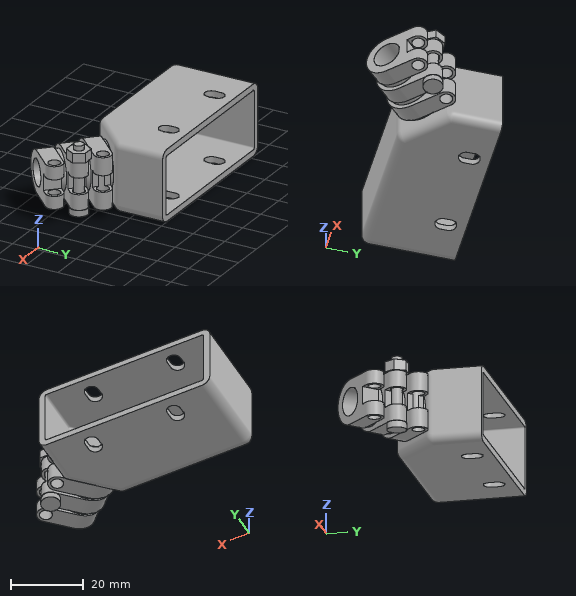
import cadquery as cq
import math

housing_length = 53.05
housing_depth = 26.8
housing_height = 22.0
edge_radius = 2.5
wall = 2.0

slot_width = 4.0
slot_length = 6.0
slot_y = -5.9
slot_x_positions = (13.7, 39.2)

outlet_angle = 45
outlet_x = 46.95
outlet_y = -21.0
bore_diameter = 8.0
neck_diameters = (14.0, 13.5, 12.0)
clamp_diameters = (15.95, 14.5, 13.0)
first_clamp_start = 1.15
clamp_width = 5.2
clamp_pitch = 6.8

ear_reach = 2.5
ear_hole_diameter = 3.5
ear_gap = 5.0

bolted_clamp = 1
bolt_diameter = 3.0
bolt_head_diameter = 5.5
bolt_head_height = 2.0
bolt_tip_height = 1.5
nut_across_flats = 6.0
nut_height = 3.0

mid_height = housing_height / 2


def housing_block(inset):
    """Bevelled block with rounded edges, moved inward by inset but always reaching the Y = 0 plane."""
    left = inset
    right = housing_length - inset
    front = -housing_depth + inset
    angle = math.radians(outlet_angle)
    bevel_distance = outlet_x * math.cos(angle) - outlet_y * math.sin(angle) - inset
    bevel_front_x = (bevel_distance + front * math.sin(angle)) / math.cos(angle)
    bevel_right_y = (right * math.cos(angle) - bevel_distance) / math.sin(angle)
    return (
        cq.Workplane("XY", origin=(0, 0, inset))
        .polyline([(left, 0), (left, front), (bevel_front_x, front), (right, bevel_right_y), (right, 0)])
        .close()
        .extrude(housing_height - 2 * inset)
        .faces("not >Y")
        .edges("not >Y")
        .fillet(edge_radius - inset)
    )


def mounting_slots():
    return (
        cq.Workplane("XY")
        .pushPoints([(x, slot_y) for x in slot_x_positions])
        .slot2D(slot_length, slot_width, 90)
        .extrude(housing_height)
    )



def outlet_cylinder(diameter, start, end):
    return cq.Workplane("YZ", origin=(start, 0, 0)).circle(diameter / 2).extrude(end - start)


def clamp_start(index):
    return first_clamp_start + index * clamp_pitch


def ear_centre(index):
    return (clamp_start(index) + clamp_width / 2, neck_diameters[index] / 2 + ear_reach)


def vertical_cylinder(centre, diameter, bottom, top):
    return cq.Workplane("XY", origin=(*centre, bottom)).circle(diameter / 2).extrude(top - bottom)


def clamp(index):
    """Ring with two ears that share one hole and are parted by a gap."""
    radius = clamp_diameters[index] / 2
    start = clamp_start(index)
    hole_centre = ear_centre(index)
    ear_length = hole_centre[1]
    ring = outlet_cylinder(2 * radius, start, start + clamp_width)
    ears = (
        cq.Workplane("XY", origin=(start, 0, -radius))
        .lineTo(clamp_width, 0)
        .lineTo(clamp_width, ear_length)
        .threePointArc((clamp_width / 2, ear_length + clamp_width / 2), (0, ear_length))
        .close()
        .extrude(2 * radius)
    )
    gap = (
        cq.Workplane("XY")
        .box(clamp_width, 2 * radius, ear_gap, centered=(False, False, True))
        .translate((start, radius, 0))
    )
    hole = vertical_cylinder(hole_centre, ear_hole_diameter, -radius, radius)
    return ring.union(ears).cut(gap).cut(hole)


def bolt(index):
    """Bolt with a round head below the ears and a hexagonal nut above them."""
    centre = ear_centre(index)
    ear_top = clamp_diameters[index] / 2
    nut_top = ear_top + nut_height
    shank = vertical_cylinder(centre, bolt_diameter, -ear_top, nut_top + bolt_tip_height)
    head = vertical_cylinder(centre, bolt_head_diameter, -ear_top - bolt_head_height, -ear_top)
    nut = (
        cq.Workplane("XY", origin=(*centre, ear_top))
        .polygon(6, nut_across_flats / math.cos(math.pi / 6))
        .extrude(nut_height)
        .rotate((*centre, 0), (*centre, 1), outlet_angle)
    )
    return shank.union(head).union(nut)


def place_outlet(shape):
    return shape.rotate((0, 0, 0), (0, 0, 1), -outlet_angle).translate((outlet_x, outlet_y, mid_height))


outlet_length = clamp_start(len(neck_diameters) - 1) + clamp_width

outlet = bolt(bolted_clamp)
for index, neck_diameter in enumerate(neck_diameters):
    neck_start = -wall if index == 0 else clamp_start(index - 1) + clamp_width
    outlet = outlet.union(outlet_cylinder(neck_diameter, neck_start, clamp_start(index)))
    outlet = outlet.union(clamp(index))

bore = outlet_cylinder(bore_diameter, -2 * wall, outlet_length)

result = (
    housing_block(0)
    .union(place_outlet(outlet))
    .cut(housing_block(wall))
    .cut(mounting_slots())
    .cut(place_outlet(bore))
)